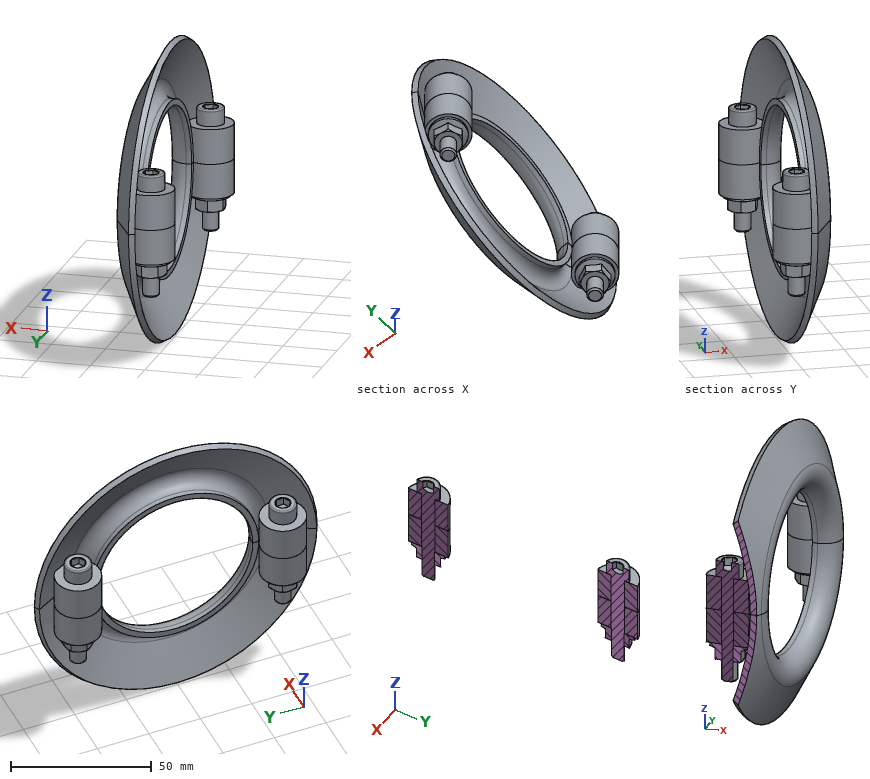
import cadquery as cq
import math

ring_radius = 55.0
bore_radius = 30.0
ring_crown_x = 13.1
wall = 2.3
groove_radius = 4.5
cone_angle = 28.7
collar_length = 2.0

boss_radius = 8.5
boss_height = 13.0
clamp_offset = 39.8

shank_radius = 3.0
shank_length = 39.9
shank_chamfer = 0.7
head_radius = 5.0
head_height = 6.0
head_fillet = 0.5
socket_across_flats = 5.0
socket_depth = 3.0
socket_turn = 30.0
socket_cone_angle = 30.0

nut_height = 6.0
nut_across_flats = 10.0
flange_radius = 7.2
flange_edge = 1.1
flange_cone_angle = 20.0
nut_chamfer_angle = 30.0

clamps = [(1, 10.0), (-1, 35.0)]


def across_corners(across_flats):
    """Corner-to-corner width of a hexagon."""
    return across_flats / math.cos(math.pi / 6)


def turn_about_z(points):
    """Solid of revolution about Z from (radius, height) points."""
    return cq.Workplane("XZ").polyline(points).close().revolve(360, (0, 0, 0), (0, 1, 0))


def make_ring_half(up):
    """Half a formed sheet ring above (up = 1) or below (up = -1) the split.

    Its section is an outer cone, a rounded crown and a short inner collar.
    """
    normal_x = math.cos(math.radians(cone_angle))
    normal_r = math.sin(math.radians(cone_angle))
    slope_x = math.tan(math.radians(cone_angle))
    crown_radius = groove_radius + wall
    bend_x = ring_crown_x - crown_radius
    bend_r = bore_radius + crown_radius

    def on_bend(radius, x_part, r_part):
        return (bend_x + radius * x_part, bend_r + radius * r_part)

    mid_angle = math.radians((cone_angle - 90) / 2)
    mid_x = math.cos(mid_angle)
    mid_r = math.sin(mid_angle)
    crown_start = on_bend(crown_radius, normal_x, normal_r)
    groove_end = on_bend(groove_radius, normal_x, normal_r)
    rim_outer_x = crown_start[0] - (ring_radius - crown_start[1]) * slope_x
    rim_outer = (rim_outer_x, ring_radius)
    rim_inner = (rim_outer_x - wall * normal_x, ring_radius - wall * normal_r)
    collar_x = bend_x - collar_length

    profile = (
        cq.Workplane("XY")
        .moveTo(*rim_outer)
        .lineTo(*crown_start)
        .threePointArc(on_bend(crown_radius, mid_x, mid_r), (bend_x, bore_radius))
        .lineTo(collar_x, bore_radius)
        .lineTo(collar_x, bore_radius + wall)
        .lineTo(bend_x, bore_radius + wall)
        .threePointArc(on_bend(groove_radius, mid_x, mid_r), groove_end)
        .lineTo(*rim_inner)
        .close()
    )
    return profile.revolve(180, (0, 0, 0), (up, 0, 0))


def make_half_boss(ring_half, side, up):
    """Drilled half boss, its back shaped to the ring where the two meet."""
    boss = (
        cq.Workplane("XY")
        .center(0, side * clamp_offset)
        .circle(boss_radius)
        .circle(shank_radius)
        .extrude(up * boss_height)
    )
    return boss.cut(ring_half)


def make_screw(side):
    """Socket head screw: round head on the upper boss, shank through both bosses."""
    head = (
        cq.Workplane("XY")
        .workplane(offset=boss_height)
        .circle(head_radius)
        .extrude(head_height)
        .faces(">Z")
        .edges()
        .fillet(head_fillet)
    )
    shank = (
        cq.Workplane("XY")
        .workplane(offset=boss_height)
        .circle(shank_radius)
        .extrude(-shank_length)
        .faces("<Z")
        .chamfer(shank_chamfer)
    )
    screw = head.union(shank).cut(make_socket())
    return screw.translate((0, side * clamp_offset, 0))


def make_socket():
    """Hexagonal key socket with a countersunk mouth and a conical bottom."""
    head_top = boss_height + head_height
    cone_slope = math.tan(math.radians(socket_cone_angle))
    flat_radius = socket_across_flats / 2
    corner_radius = across_corners(socket_across_flats) / 2
    mouth_depth = (corner_radius - flat_radius) * cone_slope
    bottom_depth = corner_radius * cone_slope
    hexagon = (
        cq.Workplane("XY")
        .workplane(offset=head_top)
        .polygon(6, 2 * corner_radius)
        .extrude(-socket_depth - bottom_depth)
        .rotate((0, 0, 0), (0, 0, 1), socket_turn)
    )
    wall_bottom = head_top - socket_depth
    drill = turn_about_z([
        (0, head_top),
        (corner_radius, head_top),
        (corner_radius, wall_bottom),
        (0, wall_bottom - bottom_depth),
    ])
    mouth = turn_about_z([
        (0, head_top),
        (corner_radius, head_top),
        (flat_radius, head_top - mouth_depth),
        (0, head_top - mouth_depth),
    ])
    return hexagon.intersect(drill).union(mouth)


def make_nut(side, turn):
    """Hexagon nut with a conical flange against the lower boss."""
    top = -boss_height
    corner_radius = across_corners(nut_across_flats) / 2
    flat_radius = nut_across_flats / 2
    chamfer_height = (corner_radius - flat_radius) * math.tan(math.radians(nut_chamfer_angle))
    hexagon = (
        cq.Workplane("XY")
        .workplane(offset=top)
        .polygon(6, 2 * corner_radius)
        .extrude(-nut_height)
    )
    envelope = (
        cq.Workplane("XY")
        .workplane(offset=top)
        .circle(corner_radius)
        .extrude(-nut_height)
        .faces("<Z")
        .chamfer(chamfer_height, corner_radius - flat_radius)
    )
    cone_drop = (flange_radius - shank_radius) * math.tan(math.radians(flange_cone_angle))
    edge_bottom = top - flange_edge
    flange = turn_about_z([
        (0, top),
        (flange_radius, top),
        (flange_radius, edge_bottom),
        (shank_radius, edge_bottom - cone_drop),
        (0, edge_bottom - cone_drop),
    ])
    bore = cq.Workplane("XY").workplane(offset=top).circle(shank_radius).extrude(-nut_height)
    nut = hexagon.intersect(envelope).union(flange).cut(bore)
    return nut.rotate((0, 0, 0), (0, 0, 1), turn).translate((0, side * clamp_offset, 0))


bodies = []
for up in (1, -1):
    ring_half = make_ring_half(up)
    bodies.append(ring_half.solids().val())
    for side, _ in clamps:
        bodies.append(make_half_boss(ring_half, side, up).solids().val())
for side, nut_turn in clamps:
    bodies.append(make_screw(side).solids().val())
    bodies.append(make_nut(side, nut_turn).solids().val())

result = cq.Compound.makeCompound(bodies)